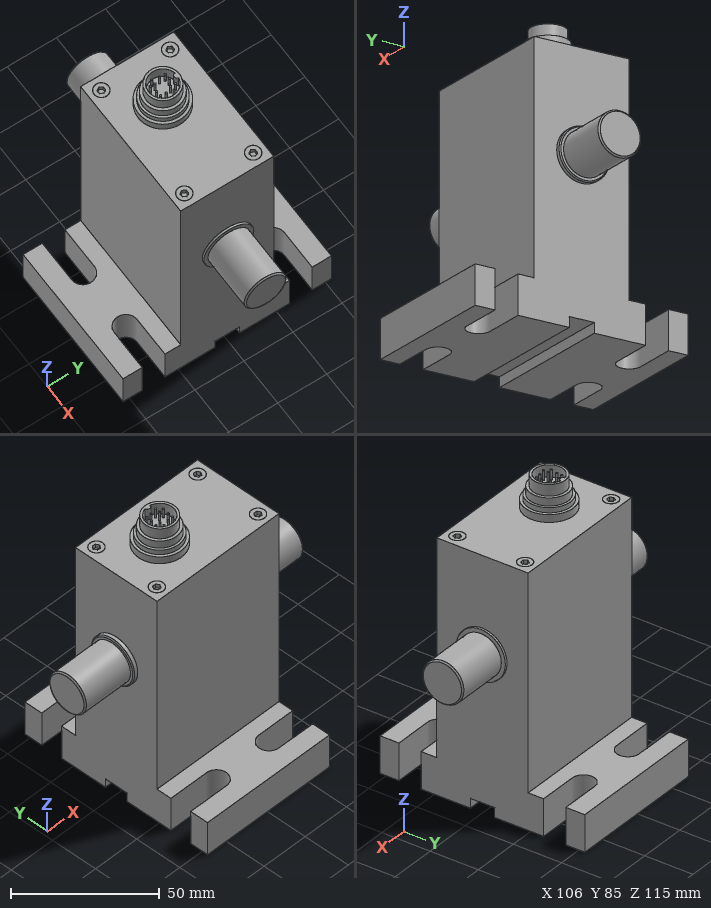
import cadquery as cq
import math

total_height = 115.0
body_length = 59.2
body_width = 38.0
body_top = 102.0

base_width = 85.0
base_height = 15.0
slot_width = 9.2
left_slot_depth = 22.0
right_slot_depth = 21.0
slot_offset_y = 30.0
keyway_width = 10.0
keyway_depth = 3.9

shaft_diameter = 17.0
shaft_height = 63.0
shaft_total_length = 106.0
shaft_left_length = 23.9
shaft_right_length = shaft_total_length - body_length - shaft_left_length
shaft_chamfer = 0.6

left_collar_diameter = 20.0
left_collar_length = 2.0
left_collar_chamfer = 0.5
right_collar_diameter = 20.4
right_collar_length = 0.9

connector_x = -8.5
connector_lower_steps = [(20.0, 3.1), (17.7, 2.1), (15.8, 3.2)]
connector_top_diameter = 13.5
socket_diameter = 11.5
socket_depth = 4.8
key_diameter = 2.3

pin_diameter = 0.76
pin_length = 3.9
pin_axis_angle = 45.0
pin_outer_radius = 4.3
pin_middle_radius = 3.3
pin_inner_radius = 2.6
pin_quarter = [
    (pin_inner_radius, 0),
    (pin_outer_radius, 18),
    (pin_middle_radius, 60),
    (pin_outer_radius, 90),
]

screw_inset = 5.1
screw_spacing_y = 28.1
head_diameter = 5.8
counterbore_diameter = 5.9
head_height = 3.0
hex_corner_diameter = 2.9
hex_depth = 1.7


def cylinder_up(diameter, z_bottom, z_top, x=0.0, y=0.0):
    """Vertical cylinder between two heights."""
    return cq.Workplane("XY", origin=(x, y, z_bottom)).circle(diameter / 2).extrude(z_top - z_bottom)


def cylinder_along_x(diameter, x_start, x_end):
    """Cylinder on the shaft axis."""
    return cq.Workplane("YZ", origin=(x_start, 0, shaft_height)).circle(diameter / 2).extrude(x_end - x_start)


def make_base():
    base = cq.Workplane("XY").box(body_length, base_width, base_height, centered=(True, True, False))
    keyway = cq.Workplane("XY").box(body_length, keyway_width, keyway_depth, centered=(True, True, False))
    base = base.cut(keyway)
    for end_face, slot_depth in [(-body_length / 2, left_slot_depth), (body_length / 2, right_slot_depth)]:
        slots = (
            cq.Workplane("XY", origin=(end_face, 0, 0))
            .pushPoints([(0, -slot_offset_y), (0, slot_offset_y)])
            .slot2D(2 * slot_depth, slot_width)
            .extrude(base_height)
        )
        base = base.cut(slots)
    return base


def make_body():
    body_height = body_top - base_height
    body = cq.Workplane("XY", origin=(0, 0, base_height))
    return body.box(body_length, body_width, body_height, centered=(True, True, False))


def make_shaft():
    left_face = -body_length / 2
    right_face = body_length / 2
    shaft = cylinder_along_x(shaft_diameter, left_face - shaft_left_length, right_face + shaft_right_length)
    shaft = shaft.faces("<X or >X").chamfer(shaft_chamfer)
    left_collar = cylinder_along_x(left_collar_diameter, left_face - left_collar_length, left_face)
    left_collar = left_collar.faces("<X").chamfer(left_collar_chamfer)
    right_collar = cylinder_along_x(right_collar_diameter, right_face, right_face + right_collar_length)
    return shaft.union(left_collar).union(right_collar)


def make_connector():
    z = body_top
    connector = cq.Workplane("XY")
    for diameter, height in connector_lower_steps:
        connector = connector.union(cylinder_up(diameter, z, z + height, connector_x))
        z += height
    connector = connector.union(cylinder_up(connector_top_diameter, z, total_height, connector_x))

    socket_floor = total_height - socket_depth
    socket = cylinder_up(socket_diameter, socket_floor, total_height, connector_x)
    key = cylinder_up(key_diameter, socket_floor, total_height, connector_x, socket_diameter / 2)
    connector = connector.cut(socket.cut(key))

    for radius, angle in pin_quarter:
        for pin_angle in (angle, -angle, 180 - angle, 180 + angle):
            direction = math.radians(pin_axis_angle + pin_angle)
            x = connector_x + radius * math.cos(direction)
            y = radius * math.sin(direction)
            connector = connector.union(cylinder_up(pin_diameter, socket_floor, socket_floor + pin_length, x, y))
    return connector


def cut_screws(part):
    """Clearance ring around each screw head and the hexagon socket in it."""
    screw_spacing_x = body_length - 2 * screw_inset
    top = cq.Workplane("XY", origin=(0, 0, body_top)).rarray(screw_spacing_x, screw_spacing_y, 2, 2)
    clearance = top.circle(counterbore_diameter / 2).circle(head_diameter / 2).extrude(-head_height)
    hexagons = top.polygon(6, hex_corner_diameter).extrude(-hex_depth)
    return part.cut(clearance).cut(hexagons)


housing = make_base().union(make_body()).union(make_shaft())
result = cut_screws(housing).union(make_connector())